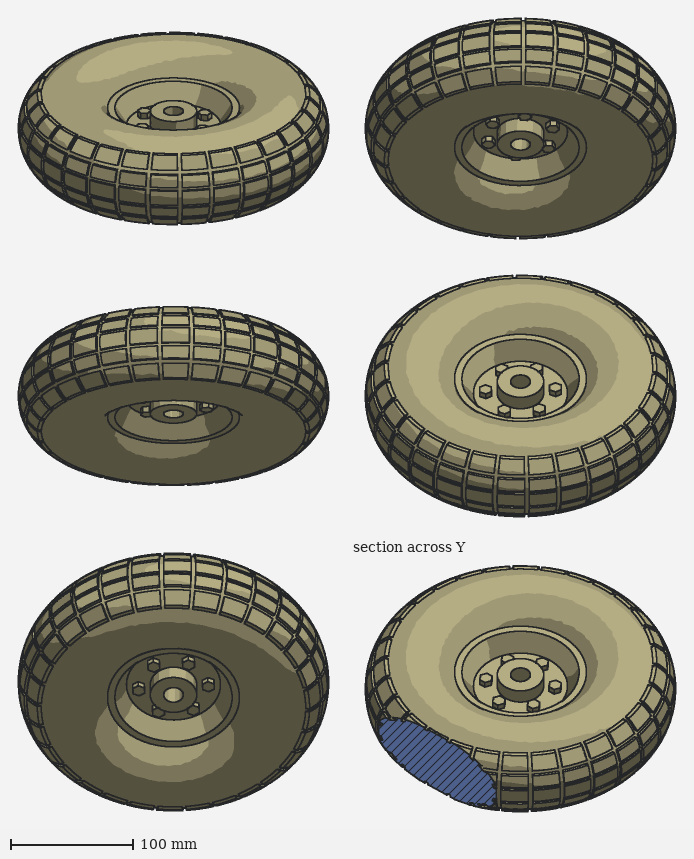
import cadquery as cq
import math

tire_diameter = 254.0
tire_width = 76.2
tread_height = 1.9
tube_radius = tire_width / 2
crown_radius = tube_radius + tread_height
tube_center_radius = tire_diameter / 2 - crown_radius

blocks_per_row = 30
block_angle = 10.3
block_embed = 1.0
block_root_radius = tube_radius - block_embed
center_row_half_width = 6.4
middle_row = (9.3, 18.8)
shoulder_row = (22.4, 31.7)

rim_width = 38.1
rim_lip_radius = 48.0
web_radius = 38.5
web_thickness = 6.6
web_face = web_thickness / 2

hub_diameter = 38.1
hub_height = 12.7
bore_diameter = 16.0

bolt_count = 6
bolt_circle_radius = 28.6
bolt_across_flats = 9.6
bolt_head_height = 5.1


def section_radius(arc_radius, z):
    """Wheel radius at height z of an arc concentric with the tyre tube."""
    return tube_center_radius + math.sqrt(arc_radius**2 - z**2)


def make_tire_and_rim():
    """Solid of revolution: outer tube arc, rim edges, conical recesses and the web."""
    rim_half = rim_width / 2
    bead_radius = 2 * tube_center_radius - section_radius(tube_radius, rim_half)
    return (
        cq.Workplane("XZ")
        .moveTo(0, -web_face)
        .lineTo(web_radius, -web_face)
        .lineTo(rim_lip_radius, -rim_half)
        .lineTo(bead_radius, -rim_half)
        .threePointArc((tube_center_radius + tube_radius, 0), (bead_radius, rim_half))
        .lineTo(rim_lip_radius, rim_half)
        .lineTo(web_radius, web_face)
        .lineTo(0, web_face)
        .close()
        .revolve(360, (0, 0, 0), (0, 1, 0))
    )


def make_tread_block(z_low, z_high):
    """One block between two heights, centred on the +Y direction."""
    z_mid = (z_low + z_high) / 2
    return (
        cq.Workplane("XZ")
        .moveTo(section_radius(block_root_radius, z_low), z_low)
        .lineTo(section_radius(crown_radius, z_low), z_low)
        .threePointArc(
            (section_radius(crown_radius, z_mid), z_mid),
            (section_radius(crown_radius, z_high), z_high),
        )
        .lineTo(section_radius(block_root_radius, z_high), z_high)
        .threePointArc(
            (section_radius(block_root_radius, z_mid), z_mid),
            (section_radius(block_root_radius, z_low), z_low),
        )
        .close()
        .revolve(block_angle, (0, 0, 0), (0, -1, 0))
        .rotate((0, 0, 0), (0, 0, 1), 90 + block_angle / 2)
        .val()
    )


def make_tread():
    """All tread blocks, the rows mirrored about the mid-plane of the tyre."""
    rows = [(-center_row_half_width, center_row_half_width)]
    for z_low, z_high in (middle_row, shoulder_row):
        rows.append((z_low, z_high))
        rows.append((-z_high, -z_low))

    blocks = []
    for z_low, z_high in rows:
        block = make_tread_block(z_low, z_high)
        for index in range(blocks_per_row):
            angle = index * 360 / blocks_per_row
            blocks.append(block.rotate((0, 0, 0), (0, 0, 1), angle))
    return blocks


def make_hub():
    """Hub boss standing out of the web by the same height on both sides."""
    hub_length = web_thickness + 2 * hub_height
    return cq.Workplane("XY").circle(hub_diameter / 2).extrude(hub_length / 2, both=True)


def make_bolts():
    """Hexagonal bolt heads on both faces of the web."""
    head_to_head = web_thickness + 2 * bolt_head_height
    across_corners = bolt_across_flats / math.cos(math.pi / 6)
    return (
        cq.Workplane("XY")
        .polarArray(bolt_circle_radius, 90, 360, bolt_count, rotate=False)
        .polygon(6, across_corners)
        .extrude(head_to_head / 2, both=True)
    )


def make_bore():
    """Axle bore through the hub."""
    return cq.Workplane("XY").circle(bore_diameter / 2).extrude(tire_width / 2, both=True)


wheel = make_tire_and_rim().union(make_hub()).union(make_bolts()).cut(make_bore())
result = cq.Workplane("XY").newObject([wheel.val().fuse(*make_tread())])